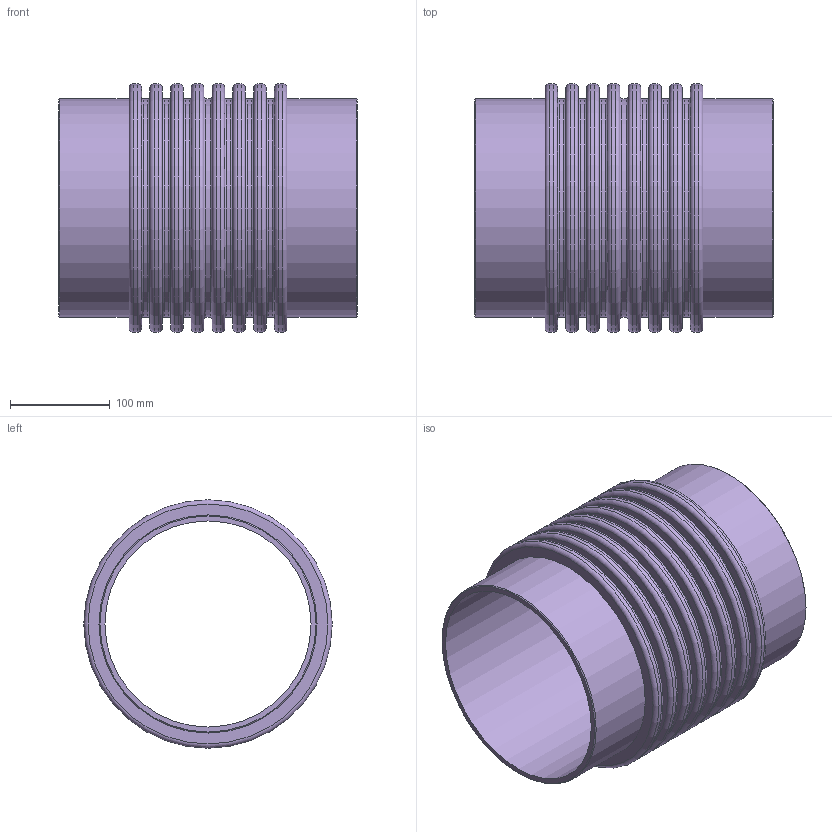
import cadquery as cq

length = 300.0
outer_radius = 219.0 / 2
bore_radius = 207.0 / 2
end_chamfer = 1.0

ridge_count = 8
ridge_pitch = 20.86
ridge_width = 12.5
ridge_radius = 249.46 / 2
crest_round = 4.25
root_round = 2.1


def make_tube():
    """Plain outer cylinder with both rims chamfered."""
    tube = cq.Workplane("YZ").circle(outer_radius).extrude(length / 2, both=True)
    return tube.faces("<X or >X").edges().chamfer(end_chamfer)


def make_ridge(center, root_left, root_right):
    """Ring with a rounded crest; the roots facing another ridge are filleted."""
    left = center - ridge_width / 2
    right = center + ridge_width / 2
    shoulder = ridge_radius - crest_round
    root_top = outer_radius + root_round

    profile = cq.Workplane("XY").moveTo(left, bore_radius)
    if root_left:
        profile = profile.lineTo(left - root_round, bore_radius)
        profile = profile.lineTo(left - root_round, outer_radius)
        profile = profile.radiusArc((left, root_top), -root_round)
    profile = profile.lineTo(left, shoulder)
    profile = profile.radiusArc((left + crest_round, ridge_radius), crest_round)
    profile = profile.lineTo(right - crest_round, ridge_radius)
    profile = profile.radiusArc((right, shoulder), crest_round)
    if root_right:
        profile = profile.lineTo(right, root_top)
        profile = profile.radiusArc((right + root_round, outer_radius), -root_round)
        profile = profile.lineTo(right + root_round, bore_radius)
    else:
        profile = profile.lineTo(right, bore_radius)
    return profile.close().revolve(360, (0, 0, 0), (1, 0, 0))


body = make_tube()
first_center = -ridge_pitch * (ridge_count - 1) / 2
for index in range(ridge_count):
    center = first_center + index * ridge_pitch
    body = body.union(make_ridge(center, index > 0, index < ridge_count - 1))

bore = cq.Workplane("YZ").circle(bore_radius).extrude(length / 2, both=True)
result = body.cut(bore)